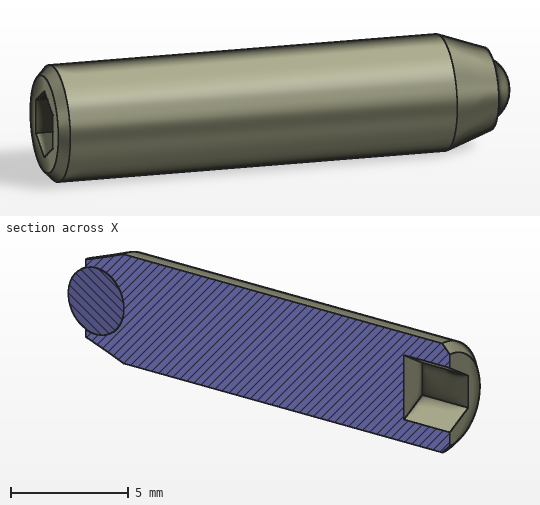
import cadquery as cq
import math

overall_length = 20.6
screw_diameter = 5.0
nose_diameter = 3.55
nose_length = 2.05
chamfer = 0.41
ball_radius = 1.5
ball_protrusion = 0.95
hex_across_flats = 2.53
hex_depth = 2.47

socket_face_y = -overall_length / 2
ball_tip_y = overall_length / 2
nose_face_y = ball_tip_y - ball_protrusion
nose_start_y = nose_face_y - nose_length
ball_center_y = ball_tip_y - ball_radius


def make_ball():
    return cq.Workplane("XY").sphere(ball_radius).translate((0, ball_center_y, 0))


def make_screw_blank():
    """Revolved cylinder with a chamfered socket end and a tapered nose."""
    screw_radius = screw_diameter / 2
    return (
        cq.Workplane("XY")
        .moveTo(0, socket_face_y)
        .lineTo(screw_radius - chamfer, socket_face_y)
        .lineTo(screw_radius, socket_face_y + chamfer)
        .lineTo(screw_radius, nose_start_y)
        .lineTo(nose_diameter / 2, nose_face_y)
        .lineTo(0, nose_face_y)
        .close()
        .revolve(360, (0, 0, 0), (0, 1, 0))
    )


def make_hex_socket():
    """Hexagonal prism with one pair of corners on the Z axis."""
    across_corners = hex_across_flats / math.cos(math.radians(30))
    return (
        cq.Workplane("XZ", origin=(0, socket_face_y, 0))
        .transformed(rotate=(0, 0, 90))
        .polygon(6, across_corners)
        .extrude(-hex_depth)
    )


def make_screw():
    """Screw with its hex socket and the spherical seat that holds the ball."""
    return make_screw_blank().cut(make_hex_socket()).cut(make_ball())


screw = make_screw()
ball = make_ball()
result = cq.Compound.makeCompound([screw.solids().val(), ball.val()])